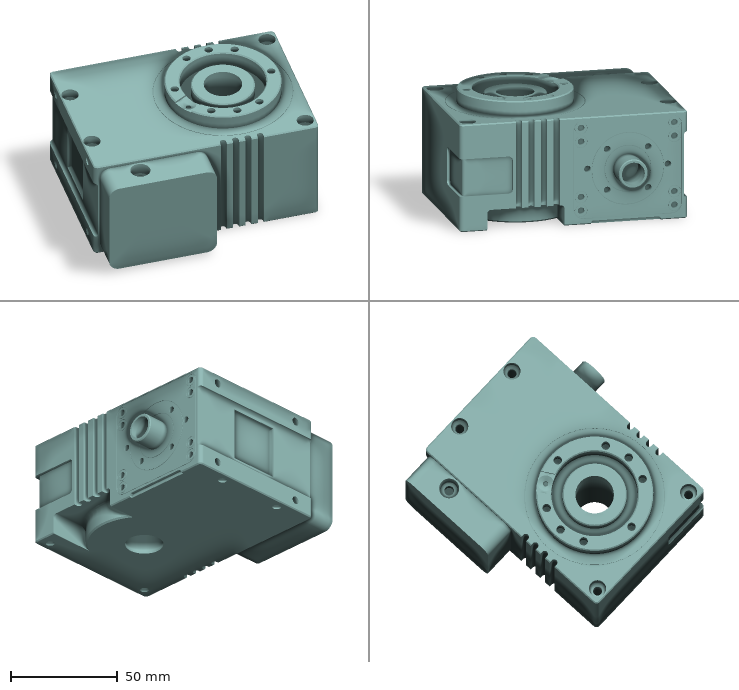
import cadquery as cq
import math


body_width = 75.0
body_length = 110.0
body_back = 36.0
body_front = body_back - body_length
body_height = 51.9
half_width = body_width / 2
corner_radius = 2.0
edge_chamfer = 0.5

total_height = 59.0
ring_diameter = 55.0
ring_bore = 40.7
hub_diameter = 30.0
hub_drop = 2.4
hub_bore = 18.0
annulus_depth = 8.2
seat_diameter = 66.0
ring_hole_circle = 47.1
ring_hole_diameter = 4.0
ring_hole_depth = 5.5
ring_hole_angles = (0, 30, 90, 150, 180, 210, 270, 330)
dowel_angle = -60
dowel_slot_width = 10.0
dowel_slot_depth = 1.0
dowel_diameter = 7.5
dowel_pilot_diameter = 2.4
dowel_pilot_depth = 2.8

bolt_diameter = 4.2
bolt_head_diameter = 8.0
bolt_head_depth = 4.4
bolt_places = [(-31.5, 30.9), (31.5, 30.9), (-18.0, -69.4), (18.0, -69.4)]

groove_count = 4
groove_pitch = 6.0
groove_width = 3.0
groove_depth = 3.0
groove_first_y = 7.5

wrap_bottom = 17.0
wrap_height = 18.3
wrap_length = 25.4
wrap_depth = 1.5
wrap_corner = 2.0
wrap_edge_radius = 1.3

opening_back = 22.9
opening_front = -14.5
opening_height = 10.0
opening_fillet = 1.9
opening_core_diameter = 55.0
opening_core_chamfer = 0.8

channel_bottom = 10.1
channel_top = 41.8
channel_depth = 1.9
channel_floor_radius = 1.3
window_size = 26.0
window_floor_radius = 1.0
window_depth = 2.0
front_hole_diameter = 4.0
front_hole_depth = 5.5
front_hole_x = 26.0
front_hole_z = (5.0, 47.1)

shaft_y = -45.0
shaft_z = body_height / 2
shaft_diameter = 14.0
shaft_bore = 11.0
shaft_end = -48.5
shaft_bore_depth = 13.2
shaft_chamfer = 0.4

cover_z = 26.8
cover_length = 52.4
cover_height = 48.2
cover_corner = 5.0
seal_diameters = (35.1, 22.7)
seal_hole_offset = 9.9
seal_hole_diameter = 3.2
seal_hole_depth = 3.3
side_hole_offset = 19.5
screw_y_offset = 22.5
screw_z_offsets = (13.4, 20.0)
screw_head_diameter = 6.0
screw_socket_diameter = 3.2
screw_socket_depth = 1.6

relief_back = -27.3
relief_front = -61.0
relief_height = 1.6
relief_depth = 1.6

flange_end = 53.5
flange_length = 52.7
flange_height = 48.1
flange_corner = 5.0
flange_hole_x = 43.0
flange_hole_y = -53.1
flange_hole_diameter = 8.0
flange_hole_mouth = 9.5
flange_hole_depth = 5.0
flange_screw_diameter = 4.5
flange_screw_depth = 8.8

joint_width = 0.3
joint_depth = 0.2

tip_angle = 118
UP = (0, 0, 1)
DOWN = (0, 0, -1)
INWARD_FROM_LEFT = (1, 0, 0)
INWARD_FROM_FRONT = (0, 1, 0)


def box(x0, x1, y0, y1, z0, z1):
    """Box between two opposite corners."""
    return cq.Workplane("XY").box(x1 - x0, y1 - y0, z1 - z0, centered=False).translate((x0, y0, z0))


def drill(diameter, depth, start, direction):
    """Cylinder from a start point along a direction."""
    cylinder = cq.Solid.makeCylinder(diameter / 2, depth, cq.Vector(*start), cq.Vector(*direction))
    return cq.Workplane(cylinder)


def cone(start_diameter, end_diameter, depth, start, direction):
    """Cone from a start point along a direction."""
    solid = cq.Solid.makeCone(
        start_diameter / 2, end_diameter / 2, depth, cq.Vector(*start), cq.Vector(*direction)
    )
    return cq.Workplane(solid)


def cone_tip(diameter, start, direction):
    """Cone tapering to a point at the drill tip angle."""
    length = diameter / 2 / math.tan(math.radians(tip_angle / 2))
    return cone(diameter, 0, length, start, direction)


def drill_with_tip(diameter, depth, start, direction):
    """Drill tool ending in a conical tip."""
    tip_start = cq.Vector(*start) + cq.Vector(*direction) * depth
    tip = cone_tip(diameter, tip_start.toTuple(), direction)
    return drill(diameter, depth, start, direction).union(tip)


def joint_ring(diameter, start, direction):
    """Thin circular groove cut from a face along a direction."""
    outer = drill(diameter, joint_depth, start, direction)
    return outer.cut(drill(diameter - 2 * joint_width, joint_depth, start, direction))


def make_body():
    body = box(-half_width, half_width, body_front, body_back, 0, body_height)
    return body.edges("|Z").fillet(corner_radius).faces("<Z or >Z").edges().chamfer(edge_chamfer)


def make_channel():
    """Channel across the front face with rounded floor edges."""
    floor_y = body_front + channel_depth
    channel = box(-half_width, half_width, body_front, floor_y, channel_bottom, channel_top)
    return channel.edges("|X and >Y").fillet(channel_floor_radius)


def make_window():
    """Square pocket in the channel floor with rounded floor edges."""
    start_y = body_front + channel_depth
    half_size = window_size / 2
    window = box(
        -half_size, half_size, start_y, start_y + window_depth, shaft_z - half_size, shaft_z + half_size
    )
    return window.faces(">Y").edges().fillet(window_floor_radius)


def make_grooves():
    tools = cq.Workplane("XY")
    for index in range(groove_count):
        y = groove_first_y - index * groove_pitch
        for side in (-1, 1):
            slot = (
                cq.Workplane("XY", origin=(side * half_width, y, 0))
                .slot2D(2 * groove_depth, groove_width)
                .extrude(body_height)
            )
            tools = tools.add(slot)
    return tools.combine()


def make_wrap_pocket():
    """Shallow pocket running around the left rear corner."""
    block = box(
        -half_width, -half_width + wrap_length, body_back - wrap_length, body_back,
        wrap_bottom, wrap_bottom + wrap_height,
    )
    block = block.edges("|X and <Y").fillet(wrap_corner)
    block = block.edges("|Y and >X").fillet(wrap_corner)
    core = box(
        -half_width + wrap_depth, half_width, body_front, body_back - wrap_depth, 0, body_height
    )
    core = core.edges("|Z and <X and >Y").fillet(wrap_edge_radius)
    return block.cut(core)


def make_opening():
    """Low opening in the left side, closed behind by a round core."""
    opening = box(-half_width, 0, opening_front, opening_back, 0, opening_height)
    opening = opening.edges("|X and >Z").fillet(opening_fillet)
    radius = opening_core_diameter / 2
    flare_start = opening_height - opening_fillet
    flare_middle = opening_fillet * (1 - math.sqrt(0.5))
    core = (
        cq.Workplane("XZ")
        .moveTo(0, 0)
        .lineTo(radius - opening_core_chamfer, 0)
        .lineTo(radius, opening_core_chamfer)
        .lineTo(radius, flare_start)
        .threePointArc(
            (radius + flare_middle, opening_height - flare_middle),
            (radius + opening_fillet, opening_height),
        )
        .lineTo(0, opening_height)
        .close()
        .revolve(360, (0, 0, 0), (0, 1, 0))
    )
    return opening.cut(core)


def make_relief():
    relief = box(-half_width, -half_width + relief_depth, relief_front, relief_back, 0, relief_height)
    return relief.edges("|X and >Z").chamfer(relief_height / 2)


def make_turntable():
    """Raised ring with the hub standing inside it."""
    ring = drill(ring_diameter, total_height - body_height, (0, 0, body_height), UP)
    ring = ring.cut(drill(ring_bore, total_height, (0, 0, 0), UP))
    ring = ring.faces(">Z").edges().chamfer(edge_chamfer)
    hub = drill(hub_diameter, total_height - hub_drop - body_height, (0, 0, body_height), UP)
    return ring.union(hub.faces(">Z").edges().chamfer(edge_chamfer))


def cut_annulus(part):
    """Gap between ring and hub, central through bore and the joint line of the seat."""
    gap_start = (0, 0, total_height - annulus_depth)
    gap = drill(ring_bore, annulus_depth, gap_start, UP)
    gap = gap.cut(drill(hub_diameter, annulus_depth, gap_start, UP))
    bore = drill(hub_bore, total_height, (0, 0, 0), UP)
    return part.cut(gap).cut(bore).cut(joint_ring(seat_diameter, (0, 0, body_height), DOWN))


def ring_point(angle, z):
    """Point on the bolt circle of the turntable ring."""
    radius = ring_hole_circle / 2
    return (radius * math.cos(math.radians(angle)), radius * math.sin(math.radians(angle)), z)


def cut_ring_holes(part):
    for angle in ring_hole_angles:
        start = ring_point(angle, total_height)
        part = part.cut(drill_with_tip(ring_hole_diameter, ring_hole_depth, start, DOWN))
    return part


def cut_dowel(part):
    """Radial slot across the ring with a countersunk pilot hole in it."""
    slot_z = total_height - dowel_slot_depth
    half_slot = dowel_slot_width / 2
    slot = box(hub_diameter / 2, ring_diameter / 2, -half_slot, half_slot, slot_z, total_height)
    start = ring_point(dowel_angle, slot_z)
    part = part.cut(slot.rotate((0, 0, 0), UP, dowel_angle))
    part = part.cut(cone_tip(dowel_diameter, start, DOWN))
    return part.cut(drill(dowel_pilot_diameter, dowel_pilot_depth, start, DOWN))


def cut_bolts(part):
    for x, y in bolt_places:
        head = drill_with_tip(bolt_head_diameter, bolt_head_depth, (x, y, body_height), DOWN)
        part = part.cut(drill(bolt_diameter, body_height, (x, y, 0), UP)).cut(head)
    return part


def cut_front_holes(part):
    for x in (-front_hole_x, front_hole_x):
        for z in front_hole_z:
            start = (x, body_front, z)
            hole = drill_with_tip(front_hole_diameter, front_hole_depth, start, INWARD_FROM_FRONT)
            part = part.cut(hole)
    return part


def make_flange():
    flange = box(
        half_width, flange_end, shaft_y - flange_length / 2, shaft_y + flange_length / 2,
        shaft_z - flange_height / 2, shaft_z + flange_height / 2,
    )
    return flange.edges("|X").fillet(flange_corner)


def cut_flange_hole(part):
    """Tapered access hole in the flange with a screw hole in its floor."""
    start = (flange_hole_x, flange_hole_y, shaft_z + flange_height / 2)
    mouth = cone(flange_hole_mouth, flange_hole_diameter, flange_hole_depth, start, DOWN)
    return part.cut(mouth).cut(drill(flange_screw_diameter, flange_screw_depth, start, DOWN))


def make_shaft():
    shaft = drill(shaft_diameter, -half_width - shaft_end, (shaft_end, shaft_y, shaft_z), INWARD_FROM_LEFT)
    return shaft.faces("<X").edges().chamfer(shaft_chamfer)


def cover_plate(margin):
    """Rounded plate in the left face, inset by a margin from the cover outline."""
    half_y = cover_length / 2 - margin
    half_z = cover_height / 2 - margin
    plate = box(
        -half_width, -half_width + joint_depth,
        shaft_y - half_y, shaft_y + half_y,
        cover_z - half_z, cover_z + half_z,
    )
    return plate.edges("|X").fillet(cover_corner - margin)


def cut_cover_screws(part):
    """Joint line of the cover plate and its flush socket screws."""
    part = part.cut(cover_plate(0).cut(cover_plate(joint_width)))
    for y in (shaft_y - screw_y_offset, shaft_y + screw_y_offset):
        for offset in screw_z_offsets:
            for z in (cover_z - offset, cover_z + offset):
                start = (-half_width, y, z)
                part = part.cut(drill(screw_socket_diameter, screw_socket_depth, start, INWARD_FROM_LEFT))
                part = part.cut(joint_ring(screw_head_diameter, start, INWARD_FROM_LEFT))
    return part


def cut_seal(part):
    """Seal rings, small blind holes around them and the bore of the shaft."""
    hole_places = [(side * side_hole_offset, cover_z) for side in (-1, 1)]
    for side in (-1, 1):
        for level in (-1, 1):
            hole_places.append((side * seal_hole_offset, shaft_z + level * seal_hole_offset))
    for offset_y, z in hole_places:
        start = (-half_width, shaft_y + offset_y, z)
        part = part.cut(drill_with_tip(seal_hole_diameter, seal_hole_depth, start, INWARD_FROM_LEFT))
    for diameter in seal_diameters:
        part = part.cut(joint_ring(diameter, (-half_width, shaft_y, shaft_z), INWARD_FROM_LEFT))
    bore_start = (shaft_end, shaft_y, shaft_z)
    return part.cut(drill(shaft_bore, shaft_bore_depth, bore_start, INWARD_FROM_LEFT))


result = make_body().union(make_turntable()).union(make_flange()).union(make_shaft())
result = result.cut(make_channel()).cut(make_window()).cut(make_grooves())
result = result.cut(make_wrap_pocket()).cut(make_opening()).cut(make_relief())
result = cut_dowel(cut_ring_holes(cut_annulus(result)))
result = cut_flange_hole(cut_front_holes(cut_bolts(result)))
result = cut_seal(cut_cover_screws(result))